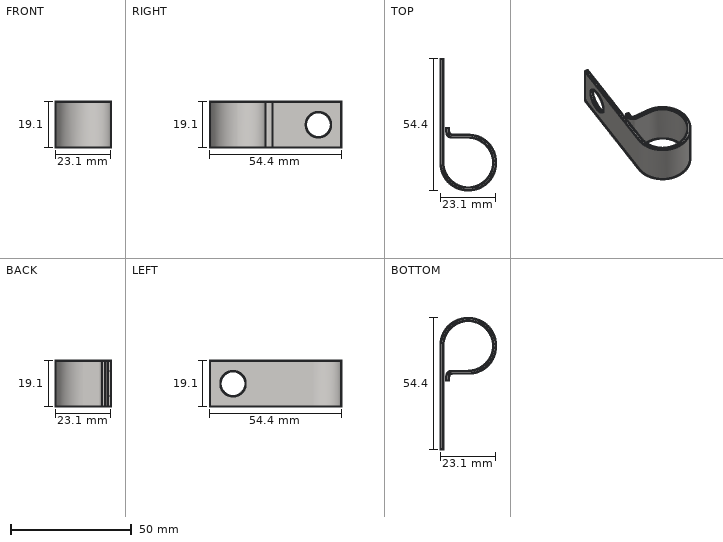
import cadquery as cq

thickness = 1.22
width = 19.05

loop_outer_radius = 11.532
loop_inner_radius = loop_outer_radius - thickness

leg_length = 42.85

lip_gap = thickness
lip_height = 2.85
bend_inner_radius = thickness
bend_outer_radius = bend_inner_radius + thickness

hole_diameter = 10.312
hole_end_distance = 9.525


def make_strip():
    """Bent strip profile in XY, extruded to the full width and centred on Z."""
    lip_outer_x = -loop_inner_radius + lip_gap
    lip_inner_x = lip_outer_x + thickness
    bend_x = lip_outer_x + bend_outer_radius
    bend_y = loop_inner_radius + bend_outer_radius
    lip_end_y = loop_outer_radius + lip_height

    return (
        cq.Workplane("XY")
        .workplane(offset=-width / 2)
        .moveTo(-loop_outer_radius, leg_length)
        .lineTo(-loop_outer_radius, 0)
        .radiusArc((loop_outer_radius, 0), -loop_outer_radius)
        .radiusArc((0, loop_outer_radius), -loop_outer_radius)
        .lineTo(bend_x, loop_outer_radius)
        .radiusArc((lip_inner_x, bend_y), bend_inner_radius)
        .lineTo(lip_inner_x, lip_end_y)
        .lineTo(lip_outer_x, lip_end_y)
        .lineTo(lip_outer_x, bend_y)
        .radiusArc((bend_x, loop_inner_radius), -bend_outer_radius)
        .lineTo(0, loop_inner_radius)
        .radiusArc((loop_inner_radius, 0), loop_inner_radius)
        .radiusArc((-loop_inner_radius, 0), loop_inner_radius)
        .lineTo(-loop_inner_radius, leg_length)
        .close()
        .extrude(width)
    )


def make_mounting_hole():
    """Cylinder along X that pierces only the mounting leg."""
    overshoot = thickness / 2
    return (
        cq.Workplane("YZ")
        .workplane(offset=-loop_outer_radius - overshoot)
        .center(leg_length - hole_end_distance, 0)
        .circle(hole_diameter / 2)
        .extrude(thickness + 2 * overshoot)
    )


result = make_strip().cut(make_mounting_hole())